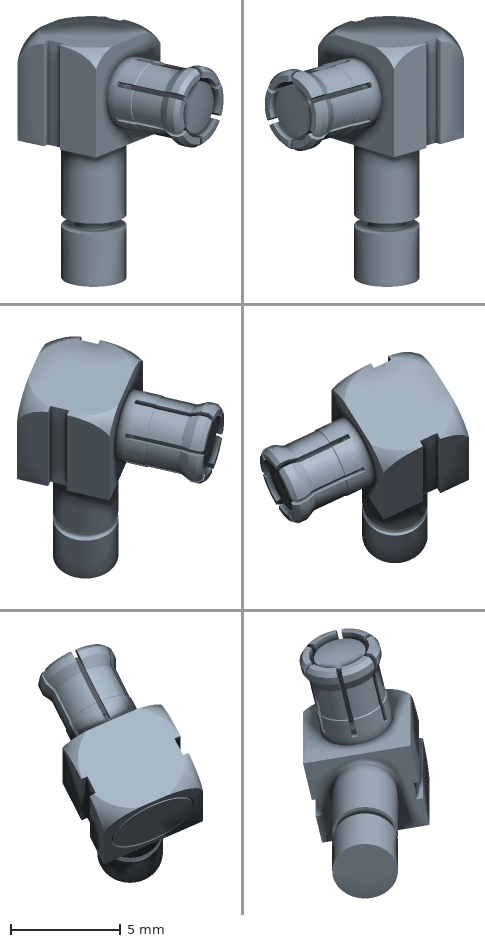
import cadquery as cq
import math

overall_length = 8.6
overall_height = 11.7

block_height = 5.0
block_width = 5.0
block_length = 4.45
block_left = -2.5
block_right = block_left + block_length
block_top = block_height / 2
block_bottom = block_top - block_height

groove_left = -1.0
groove_width = 0.9
groove_depth = 0.3

rounding_axis_x = -0.15
rounding_arc_radius = 1.7
rounding_arc_centre_r = 1.75
rounding_arc_depth = 1.55

column_radius = 1.5
column_length = 3.68
column_fillet = 0.2
column_bottom = block_bottom - column_length

end_bottom = block_top - overall_height
collar_length = 2.5
collar_top = end_bottom + collar_length
neck_radius = 0.85
neck_fillet = 0.1

cap_radius = 2.0
cap_thickness = 0.5
mouth_chamfer = 0.125

shell_tip = block_left + overall_length
shell_root_radius = 1.675
shell_finger_radius = 1.635
shell_step_x = block_left + 5.85
flare_start_x = block_left + 7.5
flare_radius = 1.875
flare_full_x = block_left + 8.0
tip_taper_x = block_left + 8.38
tip_radius = 1.7
bore_radius = 1.4

slot_count = 6
slot_width = 0.25
slot_start_x = block_left + 4.87

insulator_nose_radius = 1.2
insulator_taper_x = block_left + 5.15
insulator_tip = block_left + 8.4


def turned_about_x(outline):
    """Revolve an (x, radius) outline about the mating axis."""
    return cq.Workplane("XZ").polyline(outline).close().revolve(360, (0, 0, 0), (1, 0, 0))


def rounding_envelope():
    """Round body whose curved shoulder trims the top corners of the block."""
    top_r = rounding_arc_centre_r + math.sqrt(rounding_arc_radius**2 - rounding_arc_depth**2)
    side_r = rounding_arc_centre_r + rounding_arc_radius
    mid_angle = math.asin(rounding_arc_depth / rounding_arc_radius) / 2
    arc_z = block_top - rounding_arc_depth
    mid_point = (
        rounding_arc_centre_r + rounding_arc_radius * math.cos(mid_angle),
        arc_z + rounding_arc_radius * math.sin(mid_angle),
    )
    clear_r = block_length + block_width
    return (
        cq.Workplane("XZ")
        .moveTo(0, block_bottom)
        .lineTo(clear_r, block_bottom)
        .lineTo(clear_r, arc_z)
        .lineTo(side_r, arc_z)
        .threePointArc(mid_point, (top_r, block_top))
        .lineTo(0, block_top)
        .close()
        .revolve(360, (0, 0, 0), (0, 1, 0))
        .translate((rounding_axis_x, 0, 0))
    )


def make_housing():
    """Block with grooves, rounded top corners, cap recess and filleted column."""
    housing = (
        cq.Workplane("XY")
        .box(block_length, block_width, block_height)
        .translate(((block_left + block_right) / 2, 0, 0))
        .intersect(rounding_envelope())
    )

    groove_x = groove_left + groove_width / 2
    for side in (-1, 1):
        groove_y = side * (block_width - groove_depth) / 2
        groove = cq.Workplane("XY").box(groove_width, groove_depth, block_height)
        housing = housing.cut(groove.translate((groove_x, groove_y, 0)))

    recess_floor = block_left + cap_thickness
    recess_mouth_radius = cap_radius + mouth_chamfer
    recess = turned_about_x([
        (block_left, 0),
        (block_left, recess_mouth_radius),
        (block_left + mouth_chamfer, cap_radius),
        (recess_floor, cap_radius),
        (recess_floor, 0),
    ])
    housing = housing.cut(recess)

    fillet_mid = column_fillet * (1 - math.sqrt(0.5))
    column = (
        cq.Workplane("XZ")
        .moveTo(0, column_bottom)
        .lineTo(column_radius, column_bottom)
        .lineTo(column_radius, block_bottom - column_fillet)
        .threePointArc(
            (column_radius + fillet_mid, block_bottom - fillet_mid),
            (column_radius + column_fillet, block_bottom),
        )
        .lineTo(0, block_bottom)
        .close()
        .revolve(360, (0, 0, 0), (0, 1, 0))
    )
    return housing.union(column)


def make_cap():
    """Disc flush with the block face, inside the chamfered mouth of its recess."""
    return cq.Workplane("YZ", origin=(block_left, 0, 0)).circle(cap_radius).extrude(cap_thickness)


def make_contact_shell():
    """Flared tube on the +X face, split into fingers by radial slots."""
    step_height = shell_root_radius - shell_finger_radius
    shell = turned_about_x([
        (block_right, bore_radius),
        (block_right, shell_root_radius),
        (shell_step_x - step_height, shell_root_radius),
        (shell_step_x, shell_finger_radius),
        (flare_start_x, shell_finger_radius),
        (flare_full_x, flare_radius),
        (tip_taper_x, flare_radius),
        (shell_tip, tip_radius),
        (shell_tip, bore_radius),
    ])

    slot_length = shell_tip - slot_start_x
    slot = cq.Workplane("XY").box(
        slot_length, slot_width, 2 * flare_radius, centered=(False, True, False)
    ).translate((slot_start_x, 0, 0))
    for i in range(slot_count):
        shell = shell.cut(slot.rotate((0, 0, 0), (1, 0, 0), i * 360 / slot_count))
    return shell


def make_insulator():
    """Core that fills the shell's bore at its root and tapers to a slimmer nose."""
    taper_length = bore_radius - insulator_nose_radius
    return turned_about_x([
        (block_right, 0),
        (block_right, bore_radius),
        (insulator_taper_x, bore_radius),
        (insulator_taper_x + taper_length, insulator_nose_radius),
        (insulator_tip, insulator_nose_radius),
        (insulator_tip, 0),
    ])


def make_end_piece():
    """Neck and collar with a small fillet at the foot of the neck."""
    fillet_mid = neck_fillet * (1 - math.sqrt(0.5))
    return (
        cq.Workplane("XZ")
        .moveTo(0, end_bottom)
        .lineTo(column_radius, end_bottom)
        .lineTo(column_radius, collar_top)
        .lineTo(neck_radius + neck_fillet, collar_top)
        .threePointArc(
            (neck_radius + fillet_mid, collar_top + fillet_mid),
            (neck_radius, collar_top + neck_fillet),
        )
        .lineTo(neck_radius, column_bottom)
        .lineTo(0, column_bottom)
        .close()
        .revolve(360, (0, 0, 0), (0, 1, 0))
    )


housing = make_housing()
cap = make_cap()
contact_shell = make_contact_shell()
insulator = make_insulator()
end_piece = make_end_piece()

result = cq.Compound.makeCompound([
    housing.val(),
    cap.val(),
    contact_shell.val(),
    insulator.val(),
    end_piece.val(),
])